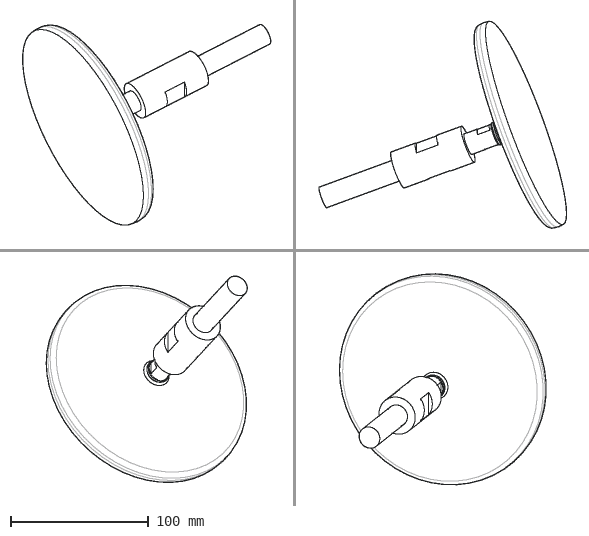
import cadquery as cq

TOTAL_LENGTH = 159.0

RIM_RADIUS = 79.0
RIM_HEIGHT = 4.1
SOLE_RADIUS = 78.5
EDGE_RADIUS = 78.7
EDGE_HEIGHT = 7.0
SHOULDER_MID = (77.8, 9.0)
SHOULDER_TOP = (75.2, 10.0)
CONE_TOP_RADIUS = 10.2
CONE_TOP_HEIGHT = 21.0
COLLAR_RADIUS = 8.7
WAIST_RADIUS = 8.1
WAIST_HEIGHT = 22.3
COLLAR_HEIGHT = 23.4
NECK_RADIUS = 7.2

STEM_DIAMETER = 16.0
STEM_BOTTOM = 24.3
STEM_FLATS_WIDTH = 13.0
STEM_FLATS_BOTTOM = 25.8
STEM_FLATS_LENGTH = 9.5

SLEEVE_DIAMETER = 28.0
SLEEVE_BOTTOM = 45.5
SLEEVE_LENGTH = 55.0
SLEEVE_FLATS_WIDTH = 22.4
SLEEVE_FLATS_BOTTOM = 64.4
SLEEVE_FLATS_LENGTH = 16.9


def cylinder(diameter, bottom, length):
    """Cylinder on the Y axis, rising from the height `bottom`."""
    base = cq.Workplane("XZ", origin=(0, bottom, 0))
    return base.circle(diameter / 2).extrude(-length)


def cut_flats(body, diameter, width, bottom, length):
    """Cut two opposite wrench flats, `width` apart along X."""
    depth = (diameter - width) / 2
    for side in (-1, 1):
        cutter = cq.Workplane("XY").box(2 * depth, length, diameter)
        body = body.cut(cutter.translate((side * (width / 2 + depth), bottom + length / 2, 0)))
    return body


def make_foot():
    """Disc with a rounded shoulder, a shallow cone and a collar below the stem."""
    profile = (
        cq.Workplane("XY")
        .lineTo(SOLE_RADIUS, 0)
        .lineTo(RIM_RADIUS, RIM_HEIGHT)
        .lineTo(EDGE_RADIUS, EDGE_HEIGHT)
        .threePointArc(SHOULDER_MID, SHOULDER_TOP)
        .lineTo(CONE_TOP_RADIUS, CONE_TOP_HEIGHT)
        .lineTo(WAIST_RADIUS, WAIST_HEIGHT)
        .lineTo(COLLAR_RADIUS, COLLAR_HEIGHT)
        .lineTo(NECK_RADIUS, STEM_BOTTOM)
        .lineTo(0, STEM_BOTTOM)
        .close()
    )
    return profile.revolve(360, (0, 0, 0), (0, 1, 0))


def make_stem():
    """Round stem with wrench flats near its lower end."""
    stem = cylinder(STEM_DIAMETER, STEM_BOTTOM, TOTAL_LENGTH - STEM_BOTTOM)
    return cut_flats(stem, STEM_DIAMETER, STEM_FLATS_WIDTH, STEM_FLATS_BOTTOM, STEM_FLATS_LENGTH)


def make_sleeve():
    """Sleeve around the stem, with wrench flats and a bore that fits the stem."""
    sleeve = cylinder(SLEEVE_DIAMETER, SLEEVE_BOTTOM, SLEEVE_LENGTH)
    sleeve = sleeve.cut(cylinder(STEM_DIAMETER, SLEEVE_BOTTOM, SLEEVE_LENGTH))
    return cut_flats(
        sleeve, SLEEVE_DIAMETER, SLEEVE_FLATS_WIDTH, SLEEVE_FLATS_BOTTOM, SLEEVE_FLATS_LENGTH
    )


foot = make_foot()
stem = make_stem()
sleeve = make_sleeve()

result = cq.Compound.makeCompound([foot.val(), stem.val(), sleeve.val()])